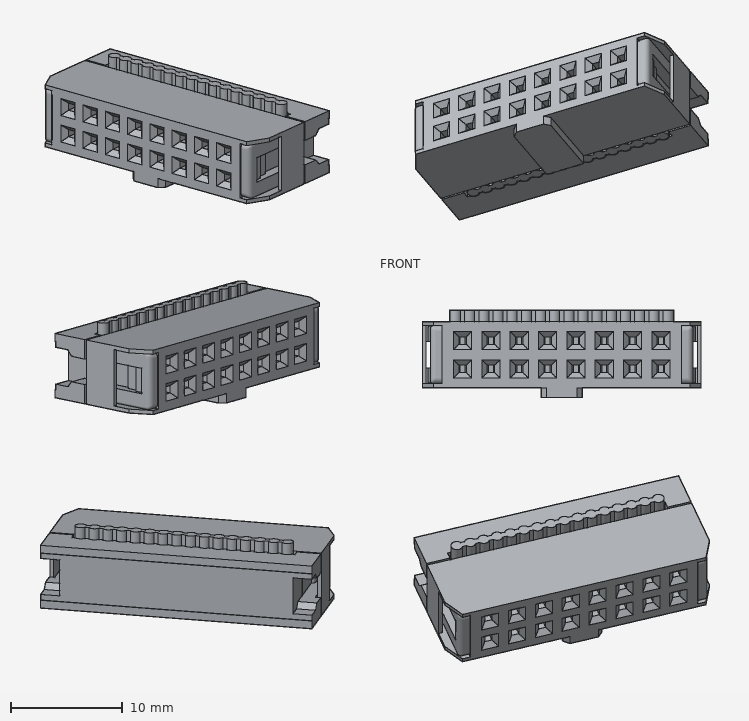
import cadquery as cq

LENGTH = 25.0
HALF_LENGTH = LENGTH / 2
BODY_HEIGHT = 5.95
HALF_HEIGHT = BODY_HEIGHT / 2

HOUSING_DEPTH = 7.0
CORNER_CUT_X = 1.0
CORNER_CUT_Y = 2.0

KEY_WIDTH = 3.7
KEY_DROP = 0.88
KEY_CHAMFER = 0.5

COLUMNS = 8
ROWS = 2
SOCKET_ROW_SPAN = 17.78
PITCH = SOCKET_ROW_SPAN / (COLUMNS - 1)
SOCKET_MOUTH = 1.62
SOCKET_THROAT = 0.68
FUNNEL_DEPTH = 0.5
THROAT_DEPTH = 1.0
CONTACT_GAP = 0.42
CONTACT_TAPER_DEPTH = 1.0

ARM_HALF_HEIGHT = 2.6
ARM_INNER = 1.75
ARM_OUTER_ROOT = 0.5
ARM_OUTER_TIP = 0.72
ARM_JOG_FRONT_Y = 4.5
ARM_JOG_BACK_Y = 5.25
ARM_TIP_Y = 0.1
ARM_TIP_RADIUS = 0.5
ARM_EDGE_RADIUS = 0.22
ROOT_HALF_HEIGHT = ARM_HALF_HEIGHT - ARM_EDGE_RADIUS
WINDOW_HALF_HEIGHT = 1.18
WINDOW_TIP_Y = 1.12

POCKET_DEPTH_Y = 3.75
CHANNEL_OUTER = 0.35

TOOTH_BACK_Y = 3.45
TOOTH_LOW = 1.42
TOOTH_HIGH = 1.1
RAMP_BACK_Y = 2.4
RAMP_FRONT_Y = 2.12
TOOTH_NOSE_RADIUS = 0.3
RAMP_FOOT_RADIUS = 0.1
RAMP_TOP_RADIUS = 0.2

COVER_GAP = 0.2
COVER_DEPTH = 3.5
COVER_FRONT = HOUSING_DEPTH + COVER_GAP
COVER_BACK = COVER_FRONT + COVER_DEPTH
BACK_GROOVE_HALF_HEIGHT = 2.22
BACK_GROOVE_DEPTH = 0.08
MOUTH_HALF_HEIGHT = 1.7
MOUTH_DEPTH = 1.48
MOUTH_TAPER = 0.5

WIRES = 16
WIRE_PITCH = PITCH / 2
WIRE_RADIUS = 0.52
WEB_HALF = 0.28
RIBBON_RISE = 1.02
RIBBON_Y = HOUSING_DEPTH + WIRE_RADIUS
WIRE_CLEARANCE = 0.08
CABLE_SLOT_HALF = 10.28


def box(x0, x1, y0, y1, z0, z1):
    return cq.Workplane("XY").box(x1 - x0, y1 - y0, z1 - z0, centered=False).translate((x0, y0, z0))


def from_end(distance):
    """X position at a distance inward from the -X end face."""
    return distance - HALF_LENGTH


def mirrored(left):
    return left.mirror("YZ")


def centred_positions(count, pitch):
    return [(i - (count - 1) / 2) * pitch for i in range(count)]


def upright(points, half_height):
    """Plan outline extruded symmetrically about the middle height."""
    return cq.Workplane("XY").polyline(points).close().extrude(half_height, both=True)


def rectangle_loft(width_a, height_a, width_b, height_b, depth):
    """Four-sided funnel running back along +Y."""
    return (
        cq.Workplane("XZ")
        .rect(width_a, height_a)
        .workplane(offset=-depth)
        .rect(width_b, height_b)
        .loft(ruled=True)
    )


def make_socket():
    funnel = rectangle_loft(SOCKET_MOUTH, SOCKET_MOUTH, SOCKET_THROAT, SOCKET_THROAT, FUNNEL_DEPTH)
    half = SOCKET_THROAT / 2
    throat_end = FUNNEL_DEPTH + THROAT_DEPTH
    throat = box(-half, half, FUNNEL_DEPTH, throat_end, -half, half)
    contact_taper = rectangle_loft(
        SOCKET_THROAT, SOCKET_THROAT, CONTACT_GAP, SOCKET_THROAT, CONTACT_TAPER_DEPTH
    )
    return funnel.union(throat).union(contact_taper.translate((0, throat_end, 0)))


def make_key():
    half = KEY_WIDTH / 2
    key = box(-half, half, 0, HOUSING_DEPTH, -HALF_HEIGHT - KEY_DROP, -HALF_HEIGHT)
    return key.edges("|Z and <Y").chamfer(KEY_CHAMFER)


def make_arm_pocket():
    """Open end pocket at the front, with a closed channel behind it."""
    inner = from_end(ARM_INNER)
    pocket = box(-HALF_LENGTH, inner, 0, POCKET_DEPTH_Y, -ARM_HALF_HEIGHT, ARM_HALF_HEIGHT)
    channel = box(
        from_end(CHANNEL_OUTER), inner, POCKET_DEPTH_Y, HOUSING_DEPTH, -ARM_HALF_HEIGHT, ARM_HALF_HEIGHT
    )
    return pocket.union(channel)


def make_tooth():
    inner, low, high = from_end(ARM_INNER), from_end(TOOTH_LOW), from_end(TOOTH_HIGH)
    nose = (low, TOOTH_BACK_Y)
    ramp_foot = (low, RAMP_BACK_Y)
    ramp_top = (high, RAMP_FRONT_Y)
    outline = [
        (inner, TOOTH_BACK_Y),
        nose,
        ramp_foot,
        ramp_top,
        (high, WINDOW_TIP_Y),
        (inner, WINDOW_TIP_Y),
    ]
    tooth = upright(outline, WINDOW_HALF_HEIGHT)
    for corner, radius in (
        (nose, TOOTH_NOSE_RADIUS),
        (ramp_foot, RAMP_FOOT_RADIUS),
        (ramp_top, RAMP_TOP_RADIUS),
    ):
        tooth = tooth.edges(cq.NearestToPointSelector((*corner, 0))).fillet(radius)
    return tooth


def make_housing():
    housing = box(-HALF_LENGTH, HALF_LENGTH, 0, HOUSING_DEPTH, -HALF_HEIGHT, HALF_HEIGHT)
    corner = upright(
        [(-HALF_LENGTH, 0), (from_end(CORNER_CUT_X), 0), (-HALF_LENGTH, CORNER_CUT_Y)], HALF_HEIGHT
    )
    pocket = make_arm_pocket()
    tooth = make_tooth()
    housing = housing.cut(corner).cut(mirrored(corner)).cut(pocket).cut(mirrored(pocket))
    housing = housing.union(tooth).union(mirrored(tooth)).union(make_key())
    socket = make_socket()
    for x in centred_positions(COLUMNS, PITCH):
        for z in centred_positions(ROWS, PITCH):
            housing = housing.cut(socket.translate((x, 0, z)))
    return housing


def make_arm():
    """Latch arm that jogs inward to a thinner, rounded front part."""
    root_x = from_end(ARM_OUTER_ROOT)
    tip_x = from_end(ARM_OUTER_TIP)
    inner = from_end(ARM_INNER)
    outline = [
        (root_x, COVER_FRONT),
        (root_x, ARM_JOG_BACK_Y),
        (tip_x, ARM_JOG_FRONT_Y),
        (tip_x, ARM_TIP_Y),
        (inner, ARM_TIP_Y),
        (inner, COVER_FRONT),
    ]
    arm = upright(outline, ARM_HALF_HEIGHT)
    arm = arm.faces("<Y").edges("not >X").fillet(ARM_TIP_RADIUS)
    outer_edges = cq.selectors.BoxSelector(
        (root_x - ARM_EDGE_RADIUS, 0, -HALF_HEIGHT),
        (tip_x + ARM_EDGE_RADIUS, COVER_FRONT, HALF_HEIGHT),
    )
    return arm.faces("|Z").edges(outer_edges).fillet(ARM_EDGE_RADIUS)


def make_arm_root():
    """Low pads in the gap, above and below the window, from the arm to the cable slot."""
    x0, x1 = from_end(ARM_INNER), -CABLE_SLOT_HALF
    upper = box(x0, x1, HOUSING_DEPTH, COVER_FRONT, WINDOW_HALF_HEIGHT, ROOT_HALF_HEIGHT)
    return upper.union(upper.mirror("XY"))


def make_window():
    """Opening through cover end and arm, flaring to a wider mouth at the back."""
    taper_y = COVER_BACK - MOUTH_DEPTH
    taper_end = taper_y - MOUTH_TAPER
    half_outline = [
        (WINDOW_TIP_Y, WINDOW_HALF_HEIGHT),
        (taper_end, WINDOW_HALF_HEIGHT),
        (taper_y, MOUTH_HALF_HEIGHT),
        (COVER_BACK, MOUTH_HALF_HEIGHT),
    ]
    outline = half_outline + [(y, -z) for y, z in reversed(half_outline)]
    end_face = cq.Workplane("YZ", origin=(-HALF_LENGTH, 0, 0))
    return end_face.polyline(outline).close().extrude(ARM_INNER)


def make_wires(radius, top):
    """Row of round wires from the bottom of the body up to a height."""
    centres = [(x, RIBBON_Y) for x in centred_positions(WIRES, WIRE_PITCH)]
    return (
        cq.Workplane("XY", origin=(0, 0, -HALF_HEIGHT))
        .pushPoints(centres)
        .circle(radius)
        .extrude(HALF_HEIGHT + top)
    )


def make_cover():
    cover = box(-HALF_LENGTH, HALF_LENGTH, COVER_FRONT, COVER_BACK, -HALF_HEIGHT, HALF_HEIGHT)
    cover = cover.cut(
        box(
            -HALF_LENGTH, HALF_LENGTH,
            COVER_BACK - BACK_GROOVE_DEPTH, COVER_BACK,
            -BACK_GROOVE_HALF_HEIGHT, BACK_GROOVE_HALF_HEIGHT,
        )
    )
    arm_with_root = make_arm().union(make_arm_root())
    window = make_window()
    cover = cover.union(arm_with_root).union(mirrored(arm_with_root))
    cover = cover.cut(window).cut(mirrored(window))
    slot_back = RIBBON_Y + WEB_HALF + WIRE_CLEARANCE
    cover = cover.cut(
        box(-CABLE_SLOT_HALF, CABLE_SLOT_HALF, HOUSING_DEPTH, slot_back, -HALF_HEIGHT, HALF_HEIGHT)
    )
    return cover.cut(make_wires(WIRE_RADIUS + WIRE_CLEARANCE, HALF_HEIGHT))


def make_ribbon():
    top = HALF_HEIGHT + RIBBON_RISE
    half_web = (WIRES - 1) / 2 * WIRE_PITCH
    web = box(-half_web, half_web, RIBBON_Y - WEB_HALF, RIBBON_Y + WEB_HALF, -HALF_HEIGHT, top)
    return web.union(make_wires(WIRE_RADIUS, top))


housing = make_housing()
cover = make_cover()
ribbon = make_ribbon()

result = cq.Compound.makeCompound([housing.val(), cover.val(), ribbon.val()])